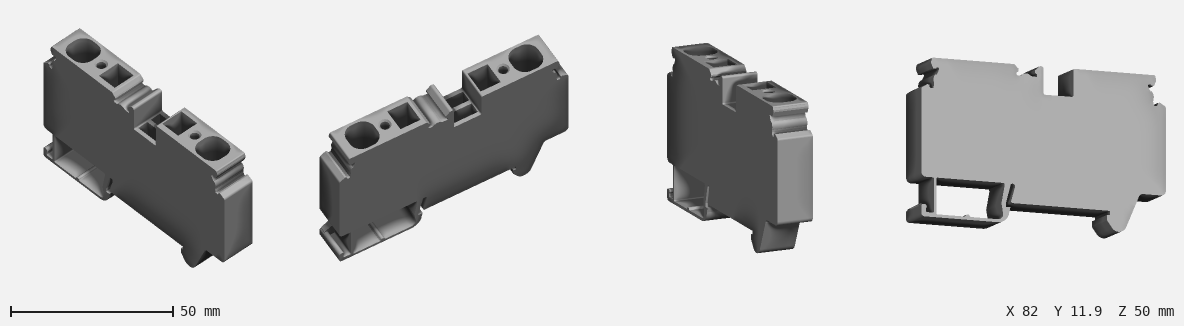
import cadquery as cq

LENGTH = 82.0
WIDTH = 11.9
HEIGHT = 50.0
MID_X = LENGTH / 2
MID_Y = WIDTH / 2

BODY_BOTTOM = 12.45
BODY_CORNER_RADIUS = 1.5
OVERCUT = 1.0

LIP_RADIUS = 0.5
LIP_TOP_X = 4.0
LIP_TIP_X = 3.25
LIP_UNDERSIDE = 46.65
SHOULDER_Z = 39.9
MARKER_LEFT = 30.9
MARKER_RIGHT = 40.0
MARKER_UNDERCUT_X = 38.85
MARKER_JAW_X = 32.65
MARKER_FLOOR = 46.55

SLOT_LEFT = 41.0
SLOT_RIGHT = 50.95
SLOT_FLOOR = 41.15
SLOT_RADIUS = 0.5
BARRIER_RADIUS = 0.75
BRIDGE_POCKET_LEFT = SLOT_LEFT + SLOT_RADIUS
BRIDGE_POCKET_RIGHT = SLOT_RIGHT - SLOT_RADIUS
BRIDGE_POCKET_WIDTH = 3.8
BRIDGE_POCKET_STARTS = (1.4, 6.65)
BRIDGE_POCKET_DEPTH = 10.0

WIRE_ENTRY_X = 11.7
WIRE_ENTRY_SIZE = 10.0
WIRE_ENTRY_RADIUS = 4.0
WIRE_ENTRY_DEPTH = 20.0
TEST_HOLE_X = 19.85
TEST_HOLE_DIAMETER = 3.0
TEST_HOLE_CHAMFER = 0.55
TEST_HOLE_DEPTH = 10.0
TOOL_POCKET_X = 26.65
TOOL_POCKET_LENGTH = 7.2
TOOL_POCKET_WIDTH = 8.0
TOOL_POCKET_DEPTH = 15.0

FLOOR_THICKNESS = 0.95
WEB_LEFT = 4.2
WEB_RIGHT = 5.0
WEB_FILLET = 0.4
FOOT_CORNER_RADIUS = 1.0
HOOK_FLOOR = 1.4
HOOK_TOP = 4.1
HOOK_INNER_X = 1.5
BUMP_X = 15.55
BUMP_HEIGHT = 0.75
BUMP_SHOULDER_HEIGHT = 0.3
BUMP_HALF_WIDTH = 0.95
BUMP_CROWN_HALF_WIDTH = 0.65
GUSSET_LEFT = 0.4
GUSSET_TOP = 6.2
GUSSET_THICKNESS = 2.2

SEAT_Z = 6.35
LEDGE_Z = 5.05
SEAT_LEFT = 30.05
ARM_NECK_X = 28.4
SEAT_RIGHT = 63.3
CLAW_TIP_X = 62.3
CLAW_ROOT_X = 74.3
ARM_ROOT_LEFT = 28.0
ARM_ROOT_RIGHT = 30.2


def prism(outline, y_start=0.0, y_end=WIDTH):
    """Extrude a closed X-Z outline between two Y positions."""
    return outline.close().extrude(-(y_end - y_start)).translate((0, y_start, 0))


def outline_from(x, z):
    return cq.Workplane("XZ").moveTo(x, z)


def mirrored_pair(shape):
    """The shape at the left end together with its mirror image at the right end."""
    return shape.union(shape.mirror("YZ", (MID_X, 0, 0)))


def housing():
    block = cq.Workplane("XY").box(LENGTH, WIDTH, HEIGHT - BODY_BOTTOM, centered=False)
    block = block.edges("|Y and <Z").fillet(BODY_CORNER_RADIUS)
    return block.translate((0, 0, BODY_BOTTOM))


def end_notches():
    """Latching recess between the top lip and the shoulder at each end of the housing."""
    left = (
        outline_from(-OVERCUT, HEIGHT + OVERCUT)
        .lineTo(LIP_TOP_X, HEIGHT + OVERCUT)
        .lineTo(LIP_TOP_X, HEIGHT)
        .radiusArc((LIP_TOP_X - LIP_RADIUS, HEIGHT - LIP_RADIUS), -LIP_RADIUS)
        .lineTo(LIP_TIP_X, 48.8)
        .lineTo(LIP_TIP_X, 48.2)
        .lineTo(3.95, LIP_UNDERSIDE)
        .lineTo(5.0, LIP_UNDERSIDE)
        .lineTo(5.05, 46.95)
        .lineTo(5.6, 46.95)
        .threePointArc((5.95, 46.65), (5.85, 46.25))
        .lineTo(5.4, 45.3)
        .lineTo(5.0, 44.65)
        .lineTo(4.75, 44.85)
        .threePointArc((4.1, 43.7), (4.2, 42.35))
        .lineTo(4.25, 41.6)
        .lineTo(3.95, 40.45)
        .lineTo(3.3, 40.4)
        .threePointArc((2.95, 40.5), (2.75, 40.8))
        .lineTo(2.65, 41.4)
        .lineTo(2.0, 41.55)
        .lineTo(0.5, 40.65)
        .threePointArc((0.15, 40.35), (0, SHOULDER_Z))
        .lineTo(-OVERCUT, SHOULDER_Z)
    )
    return mirrored_pair(prism(left))


def marker_groove():
    """Undercut groove for a marker strip, with a rounded ridge along its floor."""
    groove = (
        outline_from(MARKER_LEFT, HEIGHT)
        .lineTo(MARKER_LEFT, HEIGHT + OVERCUT)
        .lineTo(MARKER_RIGHT, HEIGHT + OVERCUT)
        .lineTo(MARKER_RIGHT, HEIGHT)
        .threePointArc((39.75, 49.95), (39.5, 49.8))
        .lineTo(38.1, 48.5)
        .lineTo(38.05, 48.0)
        .lineTo(38.3, 47.5)
        .lineTo(MARKER_UNDERCUT_X, 47.45)
        .lineTo(MARKER_UNDERCUT_X, MARKER_FLOOR)
        .lineTo(37.2, MARKER_FLOOR)
        .lineTo(36.55, 46.85)
        .threePointArc((35.2, 47.35), (33.85, 46.85))
        .lineTo(33.35, MARKER_FLOOR)
        .lineTo(32.4, MARKER_FLOOR)
        .threePointArc((31.95, 46.85), (31.95, 47.4))
        .lineTo(MARKER_JAW_X, 47.8)
        .lineTo(MARKER_JAW_X, 48.4)
        .lineTo(32.35, 48.8)
        .lineTo(31.4, 49.8)
        .threePointArc((31.15, 49.95), (MARKER_LEFT, HEIGHT))
    )
    return prism(groove)


def bridge_slot():
    radius = SLOT_RADIUS
    slot = (
        outline_from(SLOT_LEFT - BARRIER_RADIUS, HEIGHT + OVERCUT)
        .lineTo(SLOT_LEFT - BARRIER_RADIUS, HEIGHT)
        .radiusArc((SLOT_LEFT, HEIGHT - BARRIER_RADIUS), BARRIER_RADIUS)
        .lineTo(SLOT_LEFT, SLOT_FLOOR + radius)
        .radiusArc((SLOT_LEFT + radius, SLOT_FLOOR), -radius)
        .lineTo(SLOT_RIGHT - radius, SLOT_FLOOR)
        .radiusArc((SLOT_RIGHT, SLOT_FLOOR + radius), -radius)
        .lineTo(SLOT_RIGHT, HEIGHT - radius)
        .radiusArc((SLOT_RIGHT + radius, HEIGHT), radius)
        .lineTo(SLOT_RIGHT + radius, HEIGHT + OVERCUT)
    )
    cutter = prism(slot)
    for y_start in BRIDGE_POCKET_STARTS:
        pocket = cq.Workplane("XY").box(
            BRIDGE_POCKET_RIGHT - BRIDGE_POCKET_LEFT,
            BRIDGE_POCKET_WIDTH,
            BRIDGE_POCKET_DEPTH + OVERCUT,
            centered=False,
        )
        corner = (BRIDGE_POCKET_LEFT, y_start, SLOT_FLOOR - BRIDGE_POCKET_DEPTH)
        cutter = cutter.union(pocket.translate(corner))
    return cutter


def top_openings():
    """Wire entry, countersunk test hole and tool pocket at each end."""
    top = cq.Workplane("XY", origin=(0, MID_Y, HEIGHT))
    wire_entry = (
        top.center(WIRE_ENTRY_X, 0)
        .rect(WIRE_ENTRY_SIZE, WIRE_ENTRY_SIZE)
        .extrude(-WIRE_ENTRY_DEPTH)
        .edges("|Z")
        .fillet(WIRE_ENTRY_RADIUS)
    )
    hole_radius = TEST_HOLE_DIAMETER / 2
    test_hole = (
        cq.Workplane("XZ", origin=(TEST_HOLE_X, MID_Y, HEIGHT))
        .lineTo(hole_radius + TEST_HOLE_CHAMFER, 0)
        .lineTo(hole_radius, -TEST_HOLE_CHAMFER)
        .lineTo(hole_radius, -TEST_HOLE_DEPTH)
        .lineTo(0, -TEST_HOLE_DEPTH)
        .close()
        .revolve(360, (0, 0), (0, 1))
    )
    tool_pocket = (
        top.center(TOOL_POCKET_X, 0)
        .rect(TOOL_POCKET_LENGTH, TOOL_POCKET_WIDTH)
        .extrude(-TOOL_POCKET_DEPTH)
    )
    return mirrored_pair(wire_entry.union(test_hole).union(tool_pocket))


def fixed_foot():
    """Lower part of the housing that ends in the rigid rail claw."""
    foot = (
        outline_from(ARM_ROOT_LEFT, BODY_BOTTOM + OVERCUT)
        .lineTo(ARM_ROOT_LEFT, BODY_BOTTOM)
        .lineTo(SEAT_LEFT, BODY_BOTTOM)
        .lineTo(SEAT_LEFT, SEAT_Z)
        .lineTo(SEAT_RIGHT, SEAT_Z)
        .lineTo(SEAT_RIGHT, LEDGE_Z)
        .lineTo(CLAW_TIP_X, LEDGE_Z)
        .lineTo(CLAW_TIP_X, 3.3)
        .lineTo(63.85, 1.2)
        .threePointArc((66.15, 0), (68.75, 1.75))
        .lineTo(72.85, 11.2)
        .threePointArc((73.35, 12.1), (CLAW_ROOT_X, BODY_BOTTOM))
        .lineTo(CLAW_ROOT_X, BODY_BOTTOM + OVERCUT)
    )
    return prism(foot)


def spring_foot():
    """Solid silhouette of the flexible foot, from its hook to the outer face of the arm."""
    foot = (
        outline_from(FOOT_CORNER_RADIUS, 0)
        .lineTo(25.8, 0)
        .threePointArc((28.2, 0.95), (29.5, 3.6))
        .lineTo(29.9, LEDGE_Z)
        .lineTo(ARM_NECK_X, LEDGE_Z)
        .lineTo(ARM_NECK_X, SEAT_Z)
        .lineTo(ARM_ROOT_RIGHT, 12.2)
        .lineTo(ARM_ROOT_RIGHT, BODY_BOTTOM + OVERCUT)
        .lineTo(WEB_LEFT - WEB_FILLET, BODY_BOTTOM + OVERCUT)
        .lineTo(WEB_LEFT - WEB_FILLET, BODY_BOTTOM)
        .radiusArc((WEB_LEFT, BODY_BOTTOM - WEB_FILLET), WEB_FILLET)
        .lineTo(WEB_LEFT, HOOK_FLOOR + WEB_FILLET)
        .radiusArc((WEB_LEFT - WEB_FILLET, HOOK_FLOOR), WEB_FILLET)
        .lineTo(HOOK_INNER_X + WEB_FILLET, HOOK_FLOOR)
        .radiusArc((HOOK_INNER_X, HOOK_FLOOR + WEB_FILLET), WEB_FILLET)
        .lineTo(HOOK_INNER_X, 2.5)
        .lineTo(1.8, 3.0)
        .threePointArc((1.1, 3.9), (0, 3.4))
        .lineTo(0, FOOT_CORNER_RADIUS)
        .radiusArc((FOOT_CORNER_RADIUS, 0), -FOOT_CORNER_RADIUS)
    )
    return prism(foot)


def window():
    """Opening through the spring foot, with a small rounded bump on its floor."""
    opening = (
        outline_from(WEB_RIGHT, BODY_BOTTOM)
        .lineTo(WEB_RIGHT, FLOOR_THICKNESS)
        .lineTo(BUMP_X - BUMP_HALF_WIDTH, FLOOR_THICKNESS)
        .lineTo(BUMP_X - BUMP_CROWN_HALF_WIDTH, FLOOR_THICKNESS + BUMP_SHOULDER_HEIGHT)
        .threePointArc(
            (BUMP_X, FLOOR_THICKNESS + BUMP_HEIGHT),
            (BUMP_X + BUMP_CROWN_HALF_WIDTH, FLOOR_THICKNESS + BUMP_SHOULDER_HEIGHT),
        )
        .lineTo(BUMP_X + BUMP_HALF_WIDTH, FLOOR_THICKNESS)
        .lineTo(25.6, FLOOR_THICKNESS)
        .threePointArc((26.85, 1.4), (27.45, 2.6))
        .lineTo(26.85, 6.0)
        .lineTo(27.95, 11.9)
        .lineTo(27.7, BODY_BOTTOM)
    )
    return prism(opening).edges("|Y and <X").fillet(WEB_FILLET)


def arm_slit():
    """Slanted slit with a round end that frees the spring arm from the housing."""
    slit = (
        outline_from(ARM_NECK_X, SEAT_Z)
        .lineTo(29.85, 11.7)
        .threePointArc((30.75, BODY_BOTTOM), (31.4, 11.5))
        .lineTo(SEAT_LEFT, 6.8)
        .lineTo(30.4, SEAT_Z)
    )
    return prism(slit)


def hook_gusset():
    """Sloped rib at the +Y side between the hook and the web."""
    gusset = (
        outline_from(GUSSET_LEFT, 3.0)
        .lineTo(GUSSET_LEFT, HOOK_TOP)
        .lineTo(WEB_LEFT, GUSSET_TOP)
        .lineTo(WEB_LEFT + WEB_FILLET, GUSSET_TOP)
        .lineTo(WEB_LEFT + WEB_FILLET, FLOOR_THICKNESS)
        .lineTo(1.4, FLOOR_THICKNESS)
    )
    return prism(gusset, WIDTH - GUSSET_THICKNESS, WIDTH)


result = (
    housing()
    .union(fixed_foot())
    .union(spring_foot())
    .cut(window())
    .cut(arm_slit())
    .union(hook_gusset())
    .cut(end_notches())
    .cut(marker_groove())
    .cut(bridge_slot())
    .cut(top_openings())
)